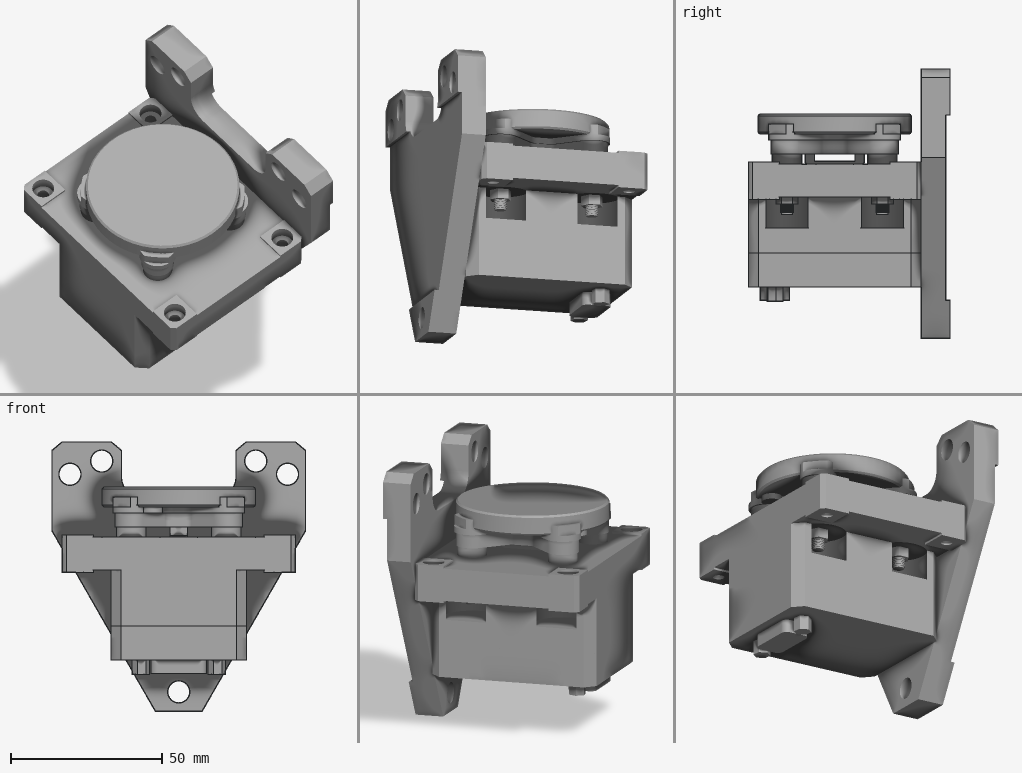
import cadquery as cq
import math

SELECTION_MARGIN = 0.1

bracket_width = 83.8
bracket_height = 88.9
bracket_thickness = 9.6
tip_width = 15.5
shoulder_z = 59.65
ear_inner_x = 18.85
ear_chamfer_x = 3.4
ear_chamfer_z = 2.85
notch_floor_z = 70.9
notch_fillet = 6.2
relief_depth = 1.4
relief_bottom_z = 12.6
relief_top_z = 73.7
bracket_hole_diameter = 7.2
ear_holes = [(35.9, 78.2), (25.4, 82.6)]
tip_hole = (0.0, 6.4)

housing_depth = 57.1
body_width = 44.8
body_corner_chamfer = 3.4
body_bottom_z = 16.9
cover_joint_z = 28.1
flange_width = 77.0
flange_corner_chamfer = 1.4
flange_bottom_z = 46.6
flange_top_z = 57.5
corner_pad_size = 10.3
corner_pad_height = 0.7
mount_inset = 5.2
mount_hole_diameter = 3.8
counterbore_diameter = 7.2
counterbore_depth = 3.8
pocket_floor_z = 36.4
centre_y = -housing_depth / 2

disc_radius = 25.3
disc_bottom_z = 67.4
disc_top_z = 74.05
disc_chamfer = 0.6

leg_offset = 15.7
lug_radius = 6.05
lug_outer_radius = 27.0
lug_top_z = 70.7
upper_layer_z = 65.4
upper_web_y = 11.65
upper_web_fillet = 3.3
boss_radius = 3.4
boss_x = -8.8
boss_y_offset = -18.2
arm_radius = 5.3
arm_bottom_z = 60.8
arm_web_y = 11.2
arm_web_fillet = 1.9
leg_radius = 4.9
seal_radius = 9.6
seal_bottom_z = 47.5
nut_corner_diameter = 7.3
nut_turn = 90.0
nut_bottom_z = 44.3
bolt_radius = 2.1
bolt_bottom_z = 40.9
thread_pitch = 0.6
thread_depth = 0.3
bridge_width = 5.7
bridge_length = 19.6
bridge_window_length = 13.3
bridge_window_bottom_z = 58.5
bridge_chamfer = 0.5

connector_y = -48.3
shell_width = 18.3
shell_depth = 9.7
shell_fillet = 2.05
shell_bottom_z = 12.5
standoff_spacing = 25.1
standoff_corner_diameter = 5.8
standoff_turn = 8.0
standoff_bottom_z = 12.2
plate_width = 32.0
plate_depth = 10.7
plate_thickness = 0.9


def block(width, depth, bottom_z, top_z, y=centre_y):
    """Box centred on X = 0 and on the given Y."""
    height = top_z - bottom_z
    return cq.Workplane("XY").box(width, depth, height, centered=(True, True, False)).translate((0, y, bottom_z))


def cylinder(radius, bottom_z, top_z, x=0.0, y=centre_y):
    """Upright cylinder."""
    return cq.Workplane("XY").circle(radius).extrude(top_z - bottom_z).translate((x, y, bottom_z))


def hexagon(corner_diameter, bottom_z, top_z, x, y, turn):
    """Upright hexagonal prism with one corner turned from +X by the given angle."""
    prism = cq.Workplane("XY").polygon(6, corner_diameter).extrude(top_z - bottom_z)
    return prism.rotate((0, 0, 0), (0, 0, 1), turn).translate((x, y, bottom_z))


leg_points = [(sx * leg_offset, centre_y + sy * leg_offset) for sx in (-1, 1) for sy in (-1, 1)]


def make_bracket():
    """Upright plate with two ears, a notch between them, five holes and a relieved back."""
    side = bracket_width / 2
    tip = tip_width / 2
    chamfer_z = bracket_height - ear_chamfer_z
    right_half = [
        (tip, 0),
        (side, shoulder_z),
        (side, chamfer_z),
        (side - ear_chamfer_x, bracket_height),
        (ear_inner_x + ear_chamfer_x, bracket_height),
        (ear_inner_x, chamfer_z),
        (ear_inner_x, notch_floor_z),
    ]
    left_half = [(-x, z) for x, z in reversed(right_half)]
    plate = cq.Workplane("XZ").polyline(right_half + left_half).close().extrude(-bracket_thickness)

    notch_corners = cq.selectors.BoxSelector(
        (-ear_inner_x - SELECTION_MARGIN, -SELECTION_MARGIN, notch_floor_z - SELECTION_MARGIN),
        (ear_inner_x + SELECTION_MARGIN, bracket_thickness + SELECTION_MARGIN, notch_floor_z + SELECTION_MARGIN),
    )
    plate = plate.edges("|Y").edges(notch_corners).fillet(notch_fillet)

    hole_points = [tip_hole] + [(side_sign * x, z) for side_sign in (-1, 1) for x, z in ear_holes]
    holes = cq.Workplane("XZ").pushPoints(hole_points).circle(bracket_hole_diameter / 2)
    relief = block(bracket_width, 2 * relief_depth, relief_bottom_z, relief_top_z, y=bracket_thickness)
    return plate.cut(holes.extrude(-bracket_thickness)).cut(relief)


def make_body_block(bottom_z, top_z):
    """Chamfered column shared by the housing and its cover."""
    return block(body_width, housing_depth, bottom_z, top_z).edges("|Z").chamfer(body_corner_chamfer)


def make_housing():
    """Flanged column with four corner mounting holes and four leg pockets."""
    pad_bottom_z = flange_bottom_z - corner_pad_height
    pad_top_z = flange_top_z + corner_pad_height
    flange = block(flange_width, housing_depth, pad_bottom_z, pad_top_z)
    flange = flange.edges("|Z").chamfer(flange_corner_chamfer)

    middle_width = flange_width - 2 * corner_pad_size
    middle_depth = housing_depth - 2 * corner_pad_size
    for low_z, high_z in ((pad_bottom_z, flange_bottom_z), (flange_top_z, pad_top_z)):
        flange = flange.cut(block(middle_width, housing_depth, low_z, high_z))
        flange = flange.cut(block(flange_width, middle_depth, low_z, high_z))
    housing = flange.union(make_body_block(cover_joint_z, flange_top_z))

    mount_x = flange_width / 2 - mount_inset
    mount_y = housing_depth / 2 - mount_inset
    for sx in (-1, 1):
        for sy in (-1, 1):
            x = sx * mount_x
            y = centre_y + sy * mount_y
            housing = housing.cut(cylinder(mount_hole_diameter / 2, pad_bottom_z, pad_top_z, x, y))
            housing = housing.cut(
                cylinder(counterbore_diameter / 2, pad_top_z - counterbore_depth, pad_top_z, x, y)
            )

    for x, y in leg_points:
        housing = housing.cut(cylinder(seal_radius, pocket_floor_z, flange_top_z, x, y))
    return housing


def make_connector_plate():
    """Mounting plate of the connector, also the shape of its recess in the cover."""
    return block(plate_width, plate_depth, body_bottom_z, body_bottom_z + plate_thickness, y=connector_y)


def make_cover():
    """Bottom part of the column, recessed for the connector plate."""
    return make_body_block(body_bottom_z, cover_joint_z).cut(make_connector_plate())


def make_connector():
    """Rounded shell between two hexagonal standoffs on one mounting plate."""
    shell = block(shell_width, shell_depth, shell_bottom_z, body_bottom_z, y=connector_y)
    connector = make_connector_plate().union(shell.edges("|Z").fillet(shell_fillet))
    for side_sign in (-1, 1):
        x = side_sign * standoff_spacing / 2
        standoff = hexagon(
            standoff_corner_diameter, standoff_bottom_z, body_bottom_z, x, connector_y, standoff_turn
        )
        connector = connector.union(standoff)
    return connector


def make_cross(half_width, web_y, web_fillet, bottom_z, top_z):
    """Diagonal cross with round arm ends on the leg axes and filleted flats between the arms."""
    arm_length = 2 * math.sqrt(2) * leg_offset
    arm = block(arm_length, 2 * half_width, bottom_z, top_z)
    axis = ((0, centre_y, 0), (0, centre_y, 1))
    middle = block(2 * web_y, 2 * web_y, bottom_z, top_z)
    cross = middle.union(arm.rotate(*axis, 45)).union(arm.rotate(*axis, -45))

    inner_corners = cq.selectors.BoxSelector(
        (-web_y - SELECTION_MARGIN, centre_y - web_y - SELECTION_MARGIN, bottom_z - SELECTION_MARGIN),
        (web_y + SELECTION_MARGIN, centre_y + web_y + SELECTION_MARGIN, top_z + SELECTION_MARGIN),
    )
    cross = cross.edges("|Z").edges(inner_corners).fillet(web_fillet)
    for x, y in leg_points:
        cross = cross.union(cylinder(half_width, bottom_z, top_z, x, y))
    return cross


def make_bolt_and_nut(x, y):
    """Nut and ridged bolt end that hang below one seal pad."""
    nut = hexagon(nut_corner_diameter, nut_bottom_z, seal_bottom_z, x, y, nut_turn)
    fastener = nut.union(cylinder(bolt_radius - thread_depth, bolt_bottom_z, nut_bottom_z, x, y))
    thread_count = int((nut_bottom_z - bolt_bottom_z) / thread_pitch)
    for index in range(thread_count):
        ridge_top_z = nut_bottom_z - index * thread_pitch
        fastener = fastener.union(cylinder(bolt_radius, ridge_top_z - thread_pitch / 2, ridge_top_z, x, y))
    return fastener


def make_disc():
    """Round plate chamfered on both rims."""
    return cylinder(disc_radius, disc_bottom_z, disc_top_z).edges().chamfer(disc_chamfer)


def make_bridge():
    """Strap under the cross that rests on the housing."""
    bridge = block(bridge_width, bridge_length, flange_top_z, arm_bottom_z)
    bridge = bridge.faces("<Z").edges("|X").chamfer(bridge_chamfer)
    return bridge.cut(block(bridge_width, bridge_window_length, bridge_window_bottom_z, arm_bottom_z))


def make_carrier():
    """Cross that holds the disc, with its lugs, legs, seal pads and fasteners as one solid."""
    carrier = make_cross(arm_radius, arm_web_y, arm_web_fillet, arm_bottom_z, upper_layer_z)
    carrier = carrier.union(make_cross(lug_radius, upper_web_y, upper_web_fillet, upper_layer_z, disc_bottom_z))
    boss_y = centre_y + boss_y_offset
    carrier = carrier.union(cylinder(boss_radius, upper_layer_z, disc_bottom_z, boss_x, boss_y))
    lug_ring = cylinder(lug_outer_radius, disc_bottom_z, lug_top_z).cut(make_disc())
    for x, y in leg_points:
        carrier = carrier.union(cylinder(lug_radius, disc_bottom_z, lug_top_z, x, y).intersect(lug_ring))
        carrier = carrier.union(cylinder(leg_radius, flange_top_z, arm_bottom_z, x, y))
        carrier = carrier.union(cylinder(seal_radius, seal_bottom_z, flange_top_z, x, y))
        carrier = carrier.union(make_bolt_and_nut(x, y))
    return carrier.union(make_bridge())


bracket = make_bracket()
housing = make_housing()
cover = make_cover()
connector = make_connector()
carrier = make_carrier()
disc = make_disc()

result = cq.Compound.makeCompound([
    bracket.val(),
    housing.val(),
    cover.val(),
    connector.val(),
    carrier.val(),
    disc.val(),
])